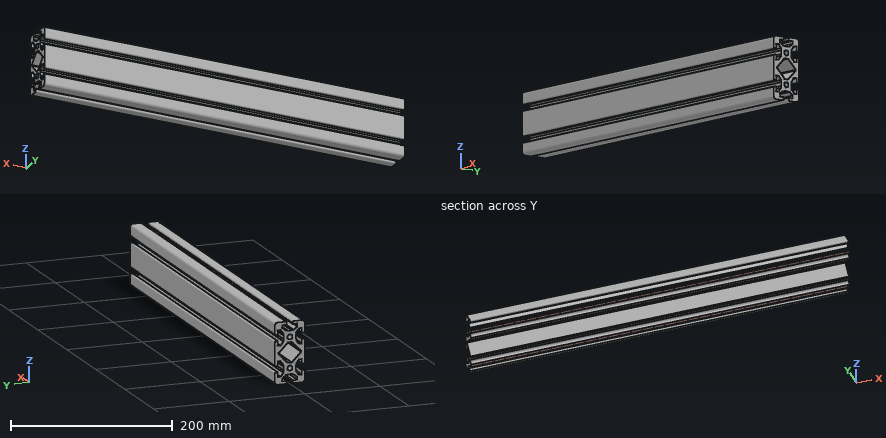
import cadquery as cq
import math

length = 500.0
cell = 40.0
width = cell
height = 2 * cell
corner_radius = 4.0

slot_opening = 8.0
slot_cove_radius = 1.5
slot_lip_thickness = 4.0
slot_cavity_width = 20.0
slot_wall_depth = 7.5
slot_floor_depth = 12.0
slot_floor_width = 10.0
slot_floor_flat_width = 4.75
slot_floor_radius = 6.5

bore_diameter = 6.5
cavity_half_width = 15.0
cavity_half_height = 13.0
cavity_diagonal_reach = 15.5


def extrude_section(section):
    """Extrude a section drawn in the YZ plane over the full length, centred on X."""
    return section.extrude(length / 2, both=True)


def slot_cutter():
    """T-slot opening toward +Y, with its mouth at Y = 0 and centred on Z = 0."""
    mouth = slot_opening / 2
    cove = mouth + slot_cove_radius
    wall = slot_cavity_width / 2
    flat = slot_floor_flat_width / 2
    floor_edge = slot_floor_width / 2
    floor_rise = slot_floor_radius - math.sqrt(slot_floor_radius**2 - (floor_edge - flat) ** 2)
    floor_edge_depth = slot_floor_depth - floor_rise
    section = (
        cq.Workplane("YZ")
        .moveTo(0, cove)
        .radiusArc((-slot_cove_radius, mouth), slot_cove_radius)
        .lineTo(-slot_lip_thickness, mouth)
        .lineTo(-slot_lip_thickness, wall)
        .lineTo(-slot_wall_depth, wall)
        .lineTo(-floor_edge_depth, floor_edge)
        .radiusArc((-slot_floor_depth, flat), slot_floor_radius)
        .lineTo(-slot_floor_depth, -flat)
        .radiusArc((-floor_edge_depth, -floor_edge), slot_floor_radius)
        .lineTo(-slot_wall_depth, -wall)
        .lineTo(-slot_lip_thickness, -wall)
        .lineTo(-slot_lip_thickness, -mouth)
        .lineTo(-slot_cove_radius, -mouth)
        .radiusArc((0, -cove), slot_cove_radius)
        .close()
    )
    return extrude_section(section)


def central_cavity():
    """Diamond with truncated corners between the two cells."""
    flat = cavity_diagonal_reach - cavity_half_height
    tip = cavity_diagonal_reach - cavity_half_width
    corners = [
        (flat, cavity_half_height),
        (cavity_half_width, tip),
        (cavity_half_width, -tip),
        (flat, -cavity_half_height),
        (-flat, -cavity_half_height),
        (-cavity_half_width, -tip),
        (-cavity_half_width, tip),
        (-flat, cavity_half_height),
    ]
    return extrude_section(cq.Workplane("YZ").polyline(corners).close())


profile = cq.Workplane("XY").box(length, width, height).edges("|X").fillet(corner_radius)

slot_places = [(90, 0, height / 2), (-90, 0, -height / 2)]
for cell_z in (cell / 2, -cell / 2):
    slot_places.append((0, width / 2, cell_z))
    slot_places.append((180, -width / 2, cell_z))

slot = slot_cutter()
for angle, y, z in slot_places:
    profile = profile.cut(slot.rotate((0, 0, 0), (1, 0, 0), angle).translate((0, y, z)))

bore_centres = [(0, cell / 2), (0, -cell / 2)]
bores = extrude_section(cq.Workplane("YZ").pushPoints(bore_centres).circle(bore_diameter / 2))

result = profile.cut(bores).cut(central_cavity())